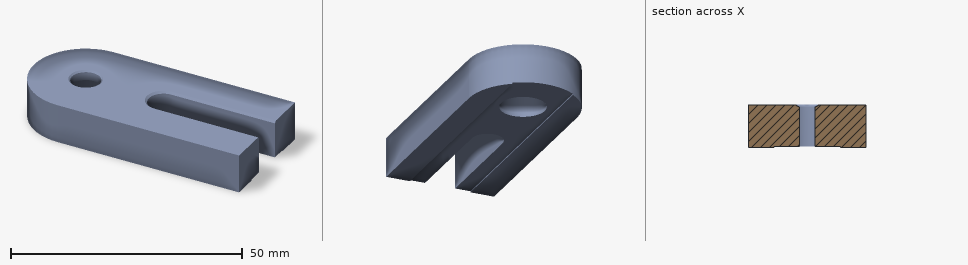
import cadquery as cq

length = 57.15
width = 25.4
thickness = 9.27
end_radius = width / 2
open_end_x = length - end_radius

bore_diameter = 6.76
counterbore_diameter = 10.31
counterbore_depth = 6.93

slot_width = 7.112
slot_center_x = 19.05
slot_radius = slot_width / 2
slot_tip_x = slot_center_x - slot_radius

hole_chamfer = 0.37
slot_chamfer = 0.46

channel_width = 14.2875
channel_depth = 0.254


def plate():
    return (
        cq.Workplane("XY")
        .moveTo(open_end_x, end_radius)
        .lineTo(0, end_radius)
        .threePointArc((-end_radius, 0), (0, -end_radius))
        .lineTo(open_end_x, -end_radius)
        .close()
        .extrude(thickness)
    )


def slot_cutter():
    """Open slot with a round inner tip, running out through the open end."""
    return (
        cq.Workplane("XY")
        .moveTo(open_end_x, slot_radius)
        .lineTo(slot_center_x, slot_radius)
        .threePointArc((slot_tip_x, 0), (slot_center_x, -slot_radius))
        .lineTo(open_end_x, -slot_radius)
        .close()
        .extrude(thickness)
    )


def bolt_hole_cutter():
    """Stepped bore with its chamfered top rim, revolved about the hole axis."""
    bore_radius = bore_diameter / 2
    counterbore_radius = counterbore_diameter / 2
    return (
        cq.Workplane("XZ")
        .polyline([
            (0, 0),
            (counterbore_radius, 0),
            (counterbore_radius, counterbore_depth),
            (bore_radius, counterbore_depth),
            (bore_radius, thickness - hole_chamfer),
            (bore_radius + hole_chamfer, thickness),
            (0, thickness),
        ])
        .close()
        .revolve(360, (0, 0, 0), (0, 1, 0))
    )


def channel_cutter():
    return (
        cq.Workplane("XY")
        .box(length, channel_width, channel_depth, centered=(False, True, False))
        .translate((-end_radius, 0, 0))
    )


def chamfer_slot_rim(body):
    """Chamfer the two straight edges and the round end of the slot's top rim."""
    margin = slot_chamfer / 2
    rim_zone = cq.selectors.BoxSelector(
        (slot_tip_x - margin, -slot_radius - margin, thickness - margin),
        (open_end_x - margin, slot_radius + margin, thickness + margin),
    )
    return body.edges(rim_zone).chamfer(slot_chamfer)


slotted_plate = chamfer_slot_rim(plate().cut(slot_cutter()))
result = slotted_plate.cut(bolt_hole_cutter()).cut(channel_cutter())